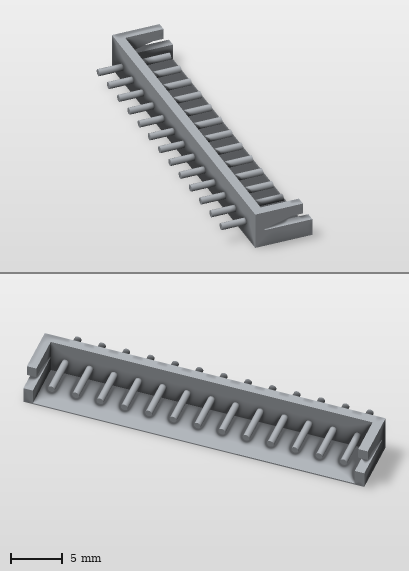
import cadquery as cq

length = 35.0
depth = 6.0
height = 3.8
wall = 0.98
floor_thickness = 0.15

slot_floor = 1.8
lip_setback = wall
lip_underside = 2.7
lip_flat = 1.15
slot_end = wall
slot_end_gap = 0.15

pin_count = 13
pin_pitch = length / (pin_count + 1)
pin_diameter = 0.7
pin_height = 1.6
pin_protrusion = 2.52
pin_tip = depth - lip_setback


def make_housing():
    """Trough with a floor, a long front wall and two end walls, open at the back and top."""
    block = cq.Workplane("XY").box(length, depth, height, centered=(True, False, False))
    cavity = (
        cq.Workplane("XY")
        .box(length - 2 * wall, depth - wall, height - floor_thickness, centered=(True, False, False))
        .translate((0, wall, floor_thickness))
    )
    return block.cut(cavity)


def make_end_slot():
    """Tapering slot through both end walls, together with the setback of the upper lips."""
    lip_back = depth - lip_setback
    return (
        cq.Workplane("YZ")
        .moveTo(slot_end, slot_floor)
        .lineTo(depth, slot_floor)
        .lineTo(depth, height)
        .lineTo(lip_back, height)
        .lineTo(lip_back, lip_underside)
        .lineTo(lip_back - lip_flat, lip_underside)
        .lineTo(slot_end, slot_floor + slot_end_gap)
        .close()
        .extrude(length / 2, both=True)
    )


def make_pins():
    """Evenly pitched pins running along Y, centred on the housing length."""
    first_pin_x = -pin_pitch * (pin_count - 1) / 2
    centres = [(first_pin_x + i * pin_pitch, pin_height) for i in range(pin_count)]
    return (
        cq.Workplane("XZ", origin=(0, pin_tip, 0))
        .pushPoints(centres)
        .circle(pin_diameter / 2)
        .extrude(pin_tip + pin_protrusion)
    )


result = make_housing().cut(make_end_slot()).union(make_pins())